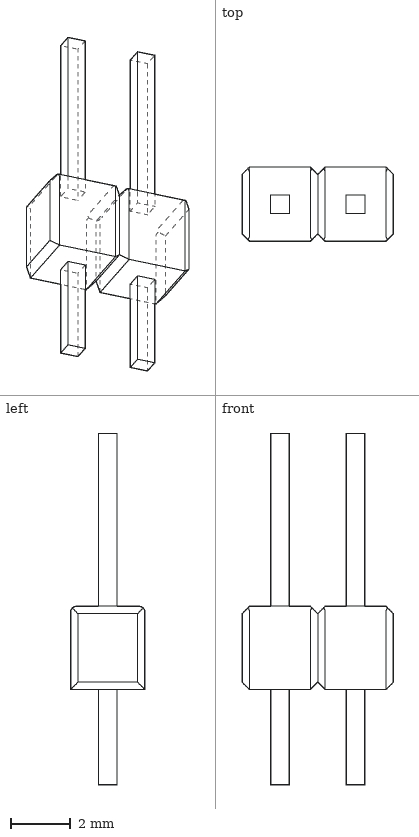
import cadquery as cq

pin_count = 2
pitch = 2.54

block_depth = 2.5
block_height = 2.8
end_chamfer = 0.25
top_fillet = 0.2

pin_side = 0.63
pin_length_above = 5.8
pin_length_below = 3.2
pin_length = pin_length_below + block_height + pin_length_above


def make_block():
    """Insulator block: bevelled around both X ends, rounded along its top front and back edges."""
    block = cq.Workplane("XY").box(pitch, block_depth, block_height, centered=(True, True, False))
    block = block.faces("<X or >X").edges().chamfer(end_chamfer)
    return block.faces(">Z").edges("|X").fillet(top_fillet)


def make_pin():
    """Square pin that runs through the block and sticks out above and below it."""
    pin = cq.Workplane("XY").box(pin_side, pin_side, pin_length, centered=(True, True, False))
    return pin.translate((0, 0, -pin_length_below))


def make_header():
    """Row of blocks joined at their X ends, each with its own pin."""
    position = make_block().union(make_pin())
    first_x = -pitch * (pin_count - 1) / 2
    header = position.translate((first_x, 0, 0))
    for index in range(1, pin_count):
        header = header.union(position.translate((first_x + index * pitch, 0, 0)))
    return header


result = make_header()